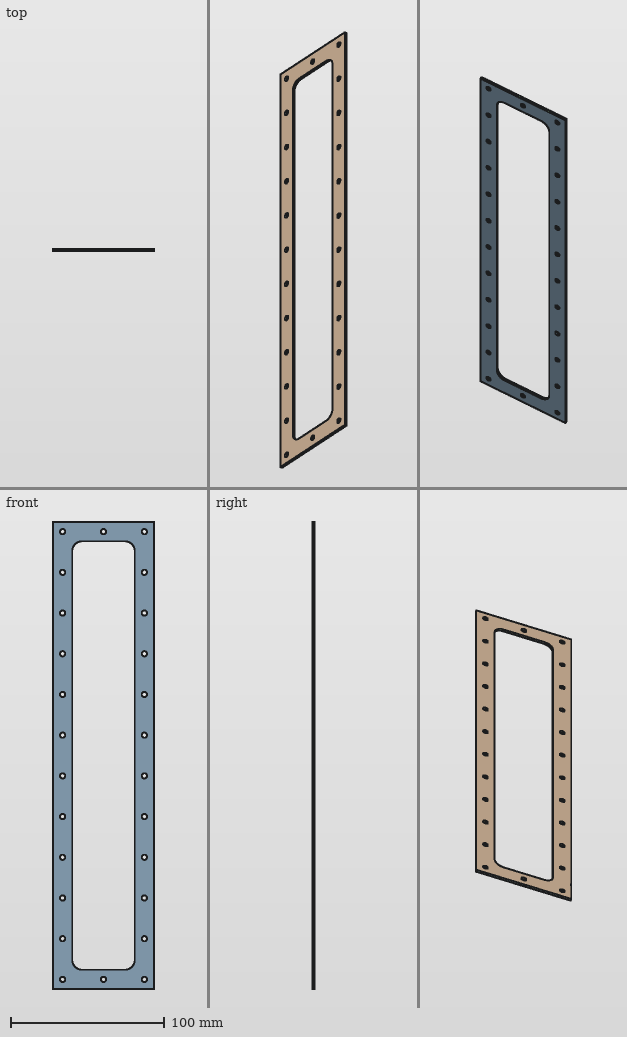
import cadquery as cq

width = 66.04
height = 304.8
thickness = 1.5875

border = 12.7
window_radius = border / 2
window_width = width - 2 * border
window_height = height - 2 * border

hole_diameter = 3.302
hole_inset = border / 2
columns = 3
rows = 12
column_pitch = (width - 2 * hole_inset) / (columns - 1)
row_pitch = (height - 2 * hole_inset) / (rows - 1)


def centred_block(size_x, size_z):
    """Block of plate thickness centred on the origin."""
    return cq.Workplane("XY").box(size_x, thickness, size_z)


def hole_centres():
    """Grid positions that lie on the border, skipping those inside the window."""
    centres = []
    for column in range(columns):
        for row in range(rows):
            on_side = column in (0, columns - 1)
            on_end = row in (0, rows - 1)
            if on_side or on_end:
                x = hole_inset - width / 2 + column * column_pitch
                z = hole_inset - height / 2 + row * row_pitch
                centres.append((x, z))
    return centres


plate = centred_block(width, height)
window = centred_block(window_width, window_height).edges("|Y").fillet(window_radius)
holes = (
    cq.Workplane("XZ")
    .pushPoints(hole_centres())
    .circle(hole_diameter / 2)
    .extrude(thickness, both=True)
)

result = plate.cut(window).cut(holes)